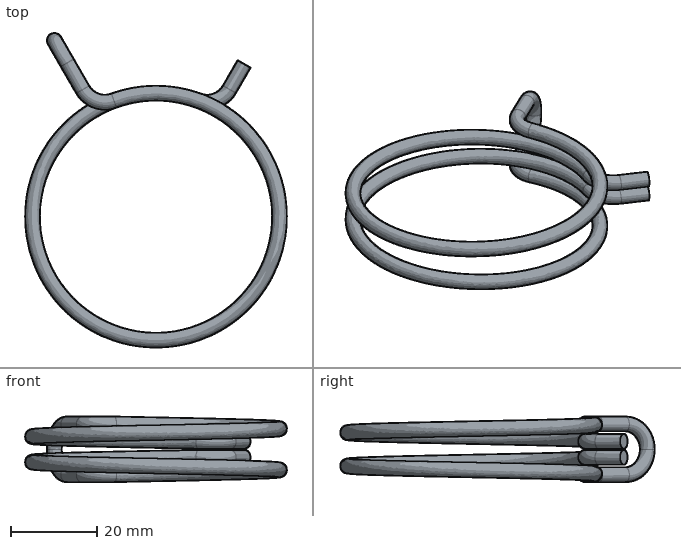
import cadquery as cq
import math

wire_diameter = 3.5
coil_radius = 28.67
grip_z = 5.9
tail_z = 1.85
bend_radius = 6.0
bend_half_angle = 20.0
leg_tilt = 30.0
grip_leg_length = 7.18
tail_length = 6.8

start_angle = 90.0 - bend_half_angle
coil_turns = (360.0 + 2.0 * bend_half_angle) / 360.0
coil_rise = grip_z - tail_z
coil_pitch = coil_rise / coil_turns


def polar(radius, degrees, z=0.0):
    """Point at a given radius and angle about the Z axis."""
    angle = math.radians(degrees)
    return cq.Vector(radius * math.cos(angle), radius * math.sin(angle), z)


def sweep_wire(path, start, direction):
    """Round wire along a path, its section square to the given start direction."""
    plane = cq.Plane(origin=start, xDir=(0, 0, 1), normal=direction)
    return cq.Workplane(plane).circle(wire_diameter / 2).sweep(path, isFrenet=True).val()


def coil():
    """One coil, rising counter-clockwise from its tail end to its grip end."""
    helix = cq.Wire.makeHelix(coil_pitch, coil_rise, coil_radius)
    helix = helix.rotate(cq.Vector(), cq.Vector(0, 0, 1), start_angle)
    helix = helix.translate(cq.Vector(0, 0, tail_z))
    return sweep_wire(helix, polar(coil_radius, start_angle, tail_z), polar(1, start_angle + 90))


def bend_and_leg(z, leg_length):
    """Edges of the outward bend and straight leg on the +X side, at one height."""
    bend_start = polar(coil_radius, start_angle, z)
    bend_center = polar(coil_radius + bend_radius, start_angle, z)
    bend_end = bend_center + polar(bend_radius, -leg_tilt)
    middle_angle = (start_angle - 180.0 - leg_tilt) / 2
    bend_middle = bend_center + polar(bend_radius, middle_angle)
    leg_end = bend_end + polar(leg_length, 90.0 - leg_tilt)
    bend = cq.Edge.makeThreePointArc(bend_start, bend_middle, bend_end)
    leg = cq.Edge.makeLine(bend_end, leg_end)
    return [bend, leg]


def tail():
    """Bend and straight tail on the +X side."""
    path = cq.Wire.assembleEdges(bend_and_leg(tail_z, tail_length))
    return sweep_wire(path, polar(coil_radius, start_angle, tail_z), polar(1, start_angle - 90))


def half_grip():
    """Bend, leg and upper quarter of the U on the -X side."""
    bend, leg = bend_and_leg(grip_z, grip_leg_length)
    leg_end = leg.endPoint()
    u_center = cq.Vector(leg_end.x, leg_end.y, 0)
    outward = polar(1, 90.0 - leg_tilt)
    diagonal = grip_z * math.sqrt(0.5)
    u_middle = u_center + outward * diagonal + cq.Vector(0, 0, diagonal)
    u_tip = u_center + outward * grip_z
    quarter = cq.Edge.makeThreePointArc(leg_end, u_middle, u_tip)
    path = cq.Wire.assembleEdges([bend, leg, quarter])
    grip = sweep_wire(path, polar(coil_radius, start_angle, grip_z), polar(1, start_angle - 90))
    return grip.mirror("YZ")


upper_half = cq.Workplane(coil()).union(cq.Workplane(tail())).union(cq.Workplane(half_grip()))
result = upper_half.union(upper_half.mirror("XY"))